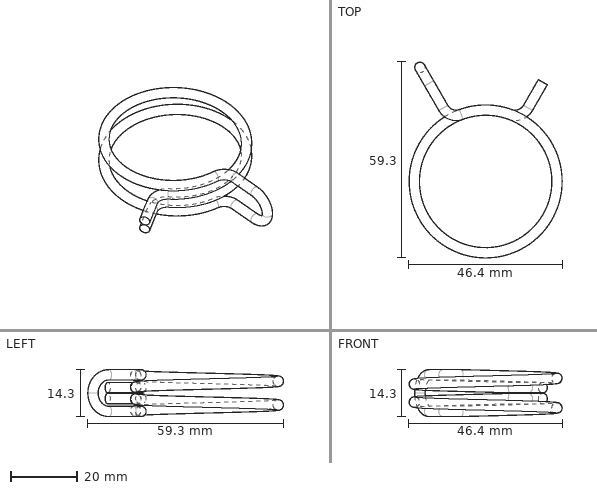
import cadquery as cq
import math


wire_diameter = 3.2
coil_inner_diameter = 40.0
coil_radius = (coil_inner_diameter + wire_diameter) / 2

overall_height = 14.3
tang_gap = 0.1
loop_height = (overall_height - wire_diameter) / 2
tang_height = (wire_diameter + tang_gap) / 2

coil_end_offset = 20.0
leg_tilt = 30.0
bend_radius = 4.5
loop_leg_length = 8.6
tang_length = 9.0

coil_sweep = 360.0 + 2 * coil_end_offset
coil_rise = loop_height - tang_height
coil_pitch = coil_rise * 360.0 / coil_sweep


def polar(radius, degrees_from_y):
    """XY point at an angle measured clockwise from the +Y axis."""
    angle = math.radians(degrees_from_y)
    return cq.Vector(radius * math.sin(angle), radius * math.cos(angle), 0)


def sweep_wire(path, start, direction):
    """Round wire swept along a path, from a section square to the direction."""
    section = cq.Workplane(cq.Plane(origin=start, normal=direction)).circle(wire_diameter / 2)
    return section.sweep(cq.Workplane(path), isFrenet=True)


def make_coil():
    """Upper coil, climbing counter-clockwise from the tang to the loop."""
    helix = cq.Wire.makeHelix(coil_pitch, coil_rise, coil_radius)
    coil = sweep_wire(helix, cq.Vector(coil_radius, 0, 0), cq.Vector(0, 1, 0))
    start_angle = 90.0 - coil_end_offset
    return coil.rotate((0, 0, 0), (0, 0, 1), start_angle).translate((0, 0, tang_height))


def leg_points(side, height):
    """Start, middle and end of the bend from coil to leg; side is -1 or +1 along X."""
    lift = cq.Vector(0, 0, height)
    centre = polar(coil_radius + bend_radius, side * coil_end_offset) + lift
    start_angle = side * (coil_end_offset + 180.0)
    end_angle = side * (leg_tilt + 90.0)
    angles = (start_angle, (start_angle + end_angle) / 2, end_angle)
    return [centre + polar(bend_radius, angle) for angle in angles]


def make_leg(side, height, length):
    """Bend that turns away from the coil, followed by a straight leg."""
    start, middle, end = leg_points(side, height)
    bend = cq.Edge.makeThreePointArc(start, middle, end)
    straight = cq.Edge.makeLine(end, end + polar(length, side * leg_tilt))
    path = cq.Wire.assembleEdges([bend, straight])
    coil_tangent = polar(1.0, side * (coil_end_offset + 90.0))
    return sweep_wire(path, start, coil_tangent)


def make_half_loop():
    """Quarter ring from the end of the loop leg down to the mirror plane."""
    leg_direction = polar(1.0, -leg_tilt)
    start = leg_points(-1, loop_height)[-1] + leg_direction * loop_leg_length
    centre = start - cq.Vector(0, 0, loop_height)
    diagonal = (leg_direction + cq.Vector(0, 0, 1)).normalized()
    arc = cq.Edge.makeThreePointArc(
        start,
        centre + diagonal * loop_height,
        centre + leg_direction * loop_height,
    )
    return sweep_wire(cq.Wire.assembleEdges([arc]), start, leg_direction)


upper_half = (
    make_coil()
    .union(make_leg(-1, loop_height, loop_leg_length))
    .union(make_leg(1, tang_height, tang_length))
    .union(make_half_loop())
)
lower_half = upper_half.mirror("XY")

result = upper_half.union(lower_half)